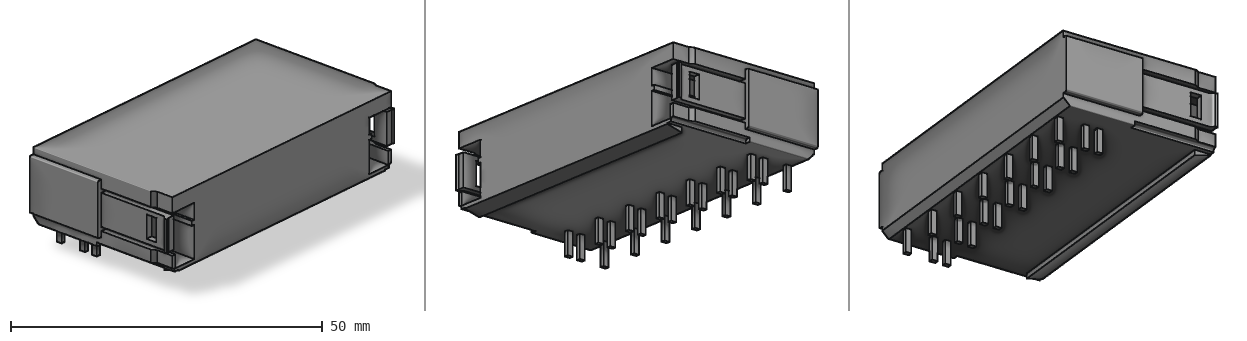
import cadquery as cq


CASE_LENGTH = 29.25
CASE_WIDTH = 54.35
CASE_HEIGHT = 13.4
CASE_SIDE = CASE_WIDTH / 2
EDGE_RADIUS = 0.15
HEEL_CHAMFER = 1.25

SHOULDER_LENGTH = 14.55
SHOULDER_SIDE = 28.05
SHOULDER_BOTTOM = 1.95
SHOULDER_TOP = 12.2
SHOULDER_RADIUS = 0.4

RELIEF_START = 25.1
RELIEF_FULL = 26.0
RELIEF_DEPTH = 0.5
RELIEF_SIDE = CASE_SIDE - RELIEF_DEPTH

UNDERCUT_START = 13.6
UNDERCUT_TOP = 0.75
COVE_RADIUS = 0.55

CHANNEL_BOTTOM = 3.05
CHANNEL_TOP = 10.55
ARM_GAP = 0.75
ARM_THICKNESS = 1.25
ARM_END = 28.9
ARM_BOTTOM = CHANNEL_BOTTOM + ARM_GAP
ARM_TOP = CHANNEL_TOP - ARM_GAP
ARM_BACK = CASE_SIDE - ARM_THICKNESS

HOOK_START = 27.6
HOOK_TIP_START = 28.45
HOOK_TIP_END = 29.1
HOOK_TIP_SIDE = 27.8

WINDOW_START = 24.2
WINDOW_END = 26.2
WINDOW_BOTTOM = 4.65
WINDOW_TOP = 9

POCKET_BACK = 21.35
POCKET_FLOOR = 0.55
RIB_DEPTH = 0.55
RIB_BOTTOM = 6.6
RIB_TOP = 7.5

FOOT_START = WINDOW_END
FOOT_WIDTH = 50.4
FOOT_DROP = 0.95
FOOT_END_DROP = 0.15

PIN_LENGTH_X = 1.05
PIN_WIDTH_Y = 0.8
PIN_DROP = 4.3
PIN_ROWS_X = (1.95, 6.95, 9.5)
PINS_PER_ROW = 7
PIN_PITCH = 7.6


def box(x_range, y_range, z_range):
    """Box between the given limits on each axis."""
    (x0, x1), (y0, y1), (z0, z1) = x_range, y_range, z_range
    return cq.Workplane("XY").box(x1 - x0, y1 - y0, z1 - z0, centered=False).translate((x0, y0, z0))


def both_sides(solid):
    """The solid on the +Y side together with its mirror image on the -Y side."""
    return solid.union(solid.mirror("XZ"))


def make_case():
    case = box((0, CASE_LENGTH), (-CASE_SIDE, CASE_SIDE), (0, CASE_HEIGHT))
    case = case.edges("|Y and <X and <Z").chamfer(HEEL_CHAMFER)
    return case.edges("|X").fillet(EDGE_RADIUS)


def make_shoulders():
    shoulders = box(
        (0, SHOULDER_LENGTH), (-SHOULDER_SIDE, SHOULDER_SIDE), (SHOULDER_BOTTOM, SHOULDER_TOP)
    )
    return shoulders.edges("|X").fillet(SHOULDER_RADIUS)


def make_relief():
    profile = [
        (RELIEF_START, CASE_SIDE),
        (RELIEF_FULL, RELIEF_SIDE),
        (CASE_LENGTH, RELIEF_SIDE),
        (CASE_LENGTH, CASE_SIDE),
    ]
    return both_sides(cq.Workplane("XY").polyline(profile).close().extrude(CASE_HEIGHT))


def make_undercut():
    undercut_side = RELIEF_SIDE - COVE_RADIUS
    profile = (
        cq.Workplane("YZ", origin=(UNDERCUT_START, 0, 0))
        .moveTo(CASE_SIDE, UNDERCUT_TOP)
        .lineTo(RELIEF_SIDE, UNDERCUT_TOP)
        .radiusArc((undercut_side, UNDERCUT_TOP - COVE_RADIUS), -COVE_RADIUS)
        .lineTo(undercut_side, 0)
        .lineTo(CASE_SIDE, 0)
        .close()
    )
    return both_sides(profile.extrude(CASE_LENGTH - UNDERCUT_START))


def make_channels():
    channel = box((SHOULDER_LENGTH, CASE_LENGTH), (ARM_BACK, CASE_SIDE), (CHANNEL_BOTTOM, CHANNEL_TOP))
    pocket = box((SHOULDER_LENGTH, CASE_LENGTH), (POCKET_BACK, ARM_BACK), (POCKET_FLOOR, CHANNEL_TOP))
    rib = box(
        (SHOULDER_LENGTH, CASE_LENGTH), (POCKET_BACK, POCKET_BACK + RIB_DEPTH), (RIB_BOTTOM, RIB_TOP)
    )
    return both_sides(channel.union(pocket).cut(rib))


def make_arms():
    arm = (
        cq.Workplane("XY", origin=(0, 0, ARM_BOTTOM))
        .moveTo(SHOULDER_LENGTH, ARM_BACK)
        .lineTo(SHOULDER_LENGTH, CASE_SIDE)
        .lineTo(HOOK_START, CASE_SIDE)
        .tangentArcPoint((HOOK_TIP_START, HOOK_TIP_SIDE), relative=False)
        .lineTo(ARM_END, HOOK_TIP_SIDE)
        .lineTo(HOOK_TIP_END, HOOK_TIP_SIDE - (HOOK_TIP_END - ARM_END))
        .lineTo(ARM_END, CASE_SIDE)
        .lineTo(ARM_END, ARM_BACK)
        .close()
        .extrude(ARM_TOP - ARM_BOTTOM)
    )
    window = box((WINDOW_START, WINDOW_END), (ARM_BACK, CASE_SIDE), (WINDOW_BOTTOM, WINDOW_TOP))
    return both_sides(arm.cut(window))


def make_foot():
    profile = [
        (FOOT_START, 0),
        (FOOT_START, -FOOT_DROP),
        (CASE_LENGTH, -FOOT_END_DROP),
        (CASE_LENGTH, 0),
    ]
    return cq.Workplane("XZ").polyline(profile).close().extrude(FOOT_WIDTH / 2, both=True)


def make_pins():
    first_y = -PIN_PITCH * (PINS_PER_ROW - 1) / 2
    centres = [(x, first_y + i * PIN_PITCH) for x in PIN_ROWS_X for i in range(PINS_PER_ROW)]
    pins = cq.Workplane("XY", origin=(0, 0, HEEL_CHAMFER)).pushPoints(centres)
    return pins.rect(PIN_LENGTH_X, PIN_WIDTH_Y).extrude(-(HEEL_CHAMFER + PIN_DROP))


result = make_case().cut(make_relief()).cut(make_undercut()).union(make_shoulders())
result = result.cut(make_channels()).union(make_arms()).union(make_foot()).union(make_pins())